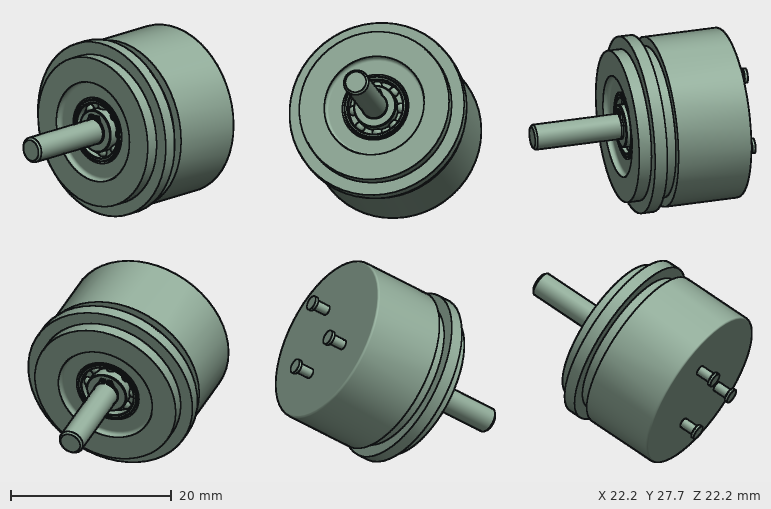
import cadquery as cq
import math


step_length = 1.5875
pilot_radius = 9.525
flange_radius = 11.1125
body_radius = 10.675
body_length = 9.525
body_start = 3 * step_length
rear_face = body_start + body_length
rear_edge_fillet = 0.25

shaft_radius = 1.5875
shaft_length = 11.06
shaft_chamfer = 0.27

recess_radius = 6.35
recess_depth = 0.8
recess_fillet = 0.4

bearing_radius = 3.96875
bore_chamfer = 0.25
outer_race_face = 0.66
inner_race_face = 0.35
outer_race_inner_radius = 3.5
inner_race_radius = 2.68
race_chamfer = 0.1
gap_floor = 1.8
ball_radius = 0.625
ball_circle_radius = 3.0
ball_center_depth = 1.85
ball_count = 8

ring_radius = 1.63
ring_thickness = 0.25
lug_top = 2.06
lug_gap = 0.36
lug_top_half_width = 0.72
lug_base_half_width = 1.05
lug_base_height = 1.25
lug_hole_radius = 0.16
lug_hole_x = 0.43
lug_hole_z = 1.72

terminal_radius = 0.635
terminal_length = 2.38
terminal_head_radius = 0.925
terminal_head_thickness = 0.4
terminal_circle_radius = 4.7625
terminal_angles = (90, 225, 315)


def disc(radius, start, length, x=0, z=0):
    """Cylinder along +Y, starting at the given Y."""
    return cq.Workplane("XZ", origin=(x, start, z)).circle(radius).extrude(-length)


def make_housing():
    """Pilot, flange, neck and body in one turned shape."""
    pilot = disc(pilot_radius, 0, body_start)
    flange = disc(flange_radius, step_length, step_length)
    body = disc(body_radius, body_start, body_length).faces(">Y").edges().fillet(rear_edge_fillet)
    return pilot.union(flange).union(body)


def make_recess():
    """Round front recess with a filleted floor corner."""
    return disc(recess_radius, 0, recess_depth).faces(">Y").edges().fillet(recess_fillet)


def make_bearing_seat():
    """Bearing bore with a conical lead-in at the recess floor."""
    seat = cq.Workplane("XY").polyline(
        [
            (0, recess_depth),
            (bearing_radius + bore_chamfer, recess_depth),
            (bearing_radius, recess_depth + bore_chamfer),
            (bearing_radius, gap_floor),
            (0, gap_floor),
        ]
    )
    return seat.close().revolve(360, (0, 0, 0), (0, 1, 0))


def make_outer_race():
    length = gap_floor - outer_race_face
    race = disc(bearing_radius, outer_race_face, length)
    race = race.cut(disc(outer_race_inner_radius, outer_race_face, length))
    return race.faces("<Y").edges().chamfer(race_chamfer)


def make_inner_race():
    race = disc(inner_race_radius, inner_race_face, gap_floor - inner_race_face)
    return race.faces("<Y").edges().chamfer(race_chamfer)


def make_ball(index):
    """Ball built on the X axis and turned about Y to its place in the bearing."""
    ball = cq.Workplane("YZ", origin=(ball_circle_radius, ball_center_depth, 0)).sphere(ball_radius)
    return ball.rotate((0, 0, 0), (0, 1, 0), 360 * index / ball_count)


def make_shaft():
    shaft = disc(shaft_radius, -shaft_length, shaft_length + inner_race_face)
    return shaft.faces("<Y").edges().chamfer(shaft_chamfer)


def make_retaining_ring():
    """Ring lying on the inner race, split at the top between two drilled lugs."""
    start = inner_race_face - ring_thickness
    lugs = (
        cq.Workplane("XZ", origin=(0, start, 0))
        .moveTo(-lug_base_half_width, lug_base_height)
        .lineTo(-lug_top_half_width, lug_top)
        .lineTo(lug_top_half_width, lug_top)
        .lineTo(lug_base_half_width, lug_base_height)
        .lineTo(0, 0)
        .close()
        .extrude(-ring_thickness)
    )
    ring = disc(ring_radius, start, ring_thickness).union(lugs)
    gap_center = (0, start + ring_thickness / 2, lug_top / 2)
    ring = ring.cut(cq.Workplane("XY", origin=gap_center).box(lug_gap, ring_thickness, lug_top))
    for side in (-1, 1):
        ring = ring.cut(disc(lug_hole_radius, start, ring_thickness, side * lug_hole_x, lug_hole_z))
    return ring


def make_terminal(angle):
    """Headed post on the rear face; the angle is measured from +X toward +Z."""
    x = terminal_circle_radius * math.cos(math.radians(angle))
    z = terminal_circle_radius * math.sin(math.radians(angle))
    post = disc(terminal_radius, rear_face, terminal_length, x, z)
    head_start = rear_face + terminal_length - terminal_head_thickness
    return post.union(disc(terminal_head_radius, head_start, terminal_head_thickness, x, z))


result = make_housing().cut(make_recess()).cut(make_bearing_seat())
result = result.union(make_outer_race())
result = result.union(make_inner_race())
for ball_index in range(ball_count):
    result = result.union(make_ball(ball_index))
result = result.union(make_retaining_ring()).union(make_shaft())
for terminal_angle in terminal_angles:
    result = result.union(make_terminal(terminal_angle))